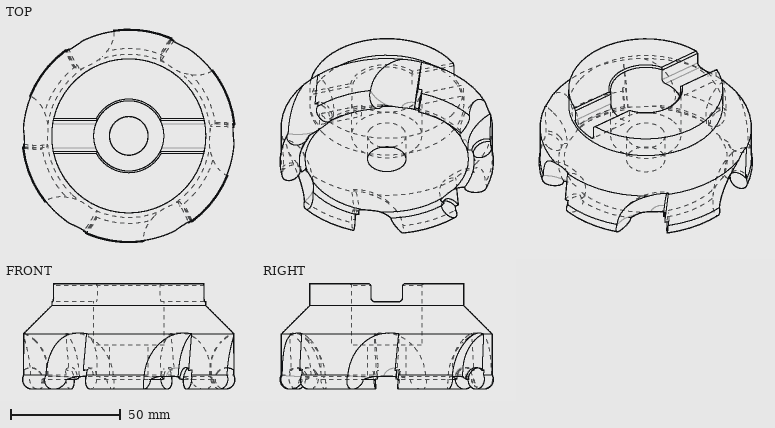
import cadquery as cq
import math

TOTAL_HEIGHT = 48.1
COLLAR_RADIUS = 35.1
BODY_RADIUS = 48.15
CONE_TOP_Z = 38.1
CONE_BOTTOM_Z = CONE_TOP_Z - (BODY_RADIUS - COLLAR_RADIUS)
BODY_BOTTOM_Z = 5.8
UNDERSIDE_FLAT_RADIUS = 37.2

RING_SECTION_RADIUS = 4.4
RING_OUTER_RADIUS = 48.65
RING_CENTRE_RADIUS = RING_OUTER_RADIUS - RING_SECTION_RADIUS

BORE_RADIUS = 16.0
BORE_DEPTH = 28.0
BORE_CHAMFER = 0.8
SCREW_HOLE_RADIUS = 8.75
SLOT_WIDTH = 14.2
SLOT_DEPTH = 8.2
SLOT_FLOOR_FILLET = 1.6
SLOT_EDGE_CHAMFER = 0.9

TOOTH_COUNT = 6
FIRST_TOOTH_ANGLE = -52.8
RADIAL_RAKE = -12.0
AXIAL_RAKE = 5.5
SEAT_RADIUS = 5.3
SEAT_OUTWARD_SHIFT = 0.8
SEAT_DEPTH = 1.8
POCKET_RADIUS = 22.8
POCKET_FLOOR_RADIUS = 5.4
POCKET_FLOOR_DEPTH = 6.5
POCKET_AXIS_HEIGHT = -0.4
POCKET_AXIS_OFFSET = 0.6
CUTTER_REACH = 30.0
FACE_CUTTER_WIDTH = 4 * CUTTER_REACH


def make_body():
    ring_inner_radius = RING_CENTRE_RADIUS - RING_SECTION_RADIUS
    rim_offset = BODY_RADIUS - RING_CENTRE_RADIUS
    rim_z = RING_SECTION_RADIUS + math.sqrt(RING_SECTION_RADIUS**2 - rim_offset**2)
    profile = (
        cq.Workplane("XZ")
        .moveTo(0, BODY_BOTTOM_Z)
        .lineTo(UNDERSIDE_FLAT_RADIUS, BODY_BOTTOM_Z)
        .lineTo(ring_inner_radius, RING_SECTION_RADIUS)
        .threePointArc((RING_CENTRE_RADIUS, 0), (RING_OUTER_RADIUS, RING_SECTION_RADIUS))
        .tangentArcPoint((BODY_RADIUS, rim_z), relative=False)
        .lineTo(BODY_RADIUS, CONE_BOTTOM_Z)
        .lineTo(COLLAR_RADIUS, CONE_TOP_Z)
        .lineTo(COLLAR_RADIUS, TOTAL_HEIGHT)
        .lineTo(0, TOTAL_HEIGHT)
        .close()
    )
    return profile.revolve(360, (0, 0), (0, 1))


def make_slot():
    floor_z = TOTAL_HEIGHT - SLOT_DEPTH
    slot = (
        cq.Workplane("XY")
        .box(2 * BODY_RADIUS, SLOT_WIDTH, SLOT_DEPTH, centered=(True, True, False))
        .translate((0, 0, floor_z))
        .edges("|X and <Z")
        .fillet(SLOT_FLOOR_FILLET)
    )
    half_width = SLOT_WIDTH / 2
    edge_relief = (
        cq.Workplane("YZ", origin=(-BODY_RADIUS, 0, TOTAL_HEIGHT))
        .moveTo(-half_width - SLOT_EDGE_CHAMFER, 0)
        .lineTo(half_width + SLOT_EDGE_CHAMFER, 0)
        .lineTo(half_width, -SLOT_EDGE_CHAMFER)
        .lineTo(-half_width, -SLOT_EDGE_CHAMFER)
        .close()
        .extrude(2 * BODY_RADIUS)
    )
    return slot.union(edge_relief)


def make_bore():
    floor_z = TOTAL_HEIGHT - BORE_DEPTH
    profile = (
        cq.Workplane("XZ")
        .moveTo(0, 0)
        .lineTo(SCREW_HOLE_RADIUS, 0)
        .lineTo(SCREW_HOLE_RADIUS, floor_z)
        .lineTo(BORE_RADIUS, floor_z)
        .lineTo(BORE_RADIUS, TOTAL_HEIGHT - BORE_CHAMFER)
        .lineTo(BORE_RADIUS + BORE_CHAMFER, TOTAL_HEIGHT)
        .lineTo(0, TOTAL_HEIGHT)
        .close()
    )
    return profile.revolve(360, (0, 0), (0, 1))


def make_seat_plane():
    """Plane of the seat face: x points outward, y upward, normal into the pocket."""
    tooth = math.radians(FIRST_TOOTH_ANGLE)
    facing = math.radians(FIRST_TOOTH_ANGLE + RADIAL_RAKE)
    tilt = math.radians(AXIAL_RAKE)
    origin = (
        RING_CENTRE_RADIUS * math.cos(tooth),
        RING_CENTRE_RADIUS * math.sin(tooth),
        RING_SECTION_RADIUS,
    )
    outward = (math.cos(facing), math.sin(facing), 0)
    normal = (
        math.sin(facing) * math.cos(tilt),
        -math.cos(facing) * math.cos(tilt),
        math.sin(tilt),
    )
    return cq.Plane(origin=origin, xDir=outward, normal=normal)


def draw_pocket_outline(pocket_plane, near_edge):
    """Half section of the pocket: flat floor, rounded corner, straight wall."""
    corner_radius = POCKET_RADIUS - POCKET_FLOOR_RADIUS
    corner_end = corner_radius - POCKET_FLOOR_DEPTH
    corner_middle = (
        corner_end - corner_radius * math.sqrt(0.5),
        POCKET_FLOOR_RADIUS + corner_radius * math.sqrt(0.5),
    )
    return (
        cq.Workplane(pocket_plane)
        .moveTo(-POCKET_FLOOR_DEPTH, near_edge)
        .lineTo(-POCKET_FLOOR_DEPTH, POCKET_FLOOR_RADIUS)
        .threePointArc(corner_middle, (corner_end, POCKET_RADIUS))
        .lineTo(CUTTER_REACH, POCKET_RADIUS)
        .lineTo(CUTTER_REACH, near_edge)
        .close()
    )


def make_pocket(seat_plane):
    """Round-topped pocket ending at the flat tooth face and open below."""
    axis_origin = seat_plane.toWorldCoords((0, POCKET_AXIS_HEIGHT, SEAT_DEPTH + POCKET_AXIS_OFFSET))
    pocket_plane = cq.Plane(
        origin=axis_origin.toTuple(),
        xDir=seat_plane.xDir.toTuple(),
        normal=(-seat_plane.yDir).toTuple(),
    )
    bowl = draw_pocket_outline(pocket_plane, 0).revolve(360, (0, 0), (1, 0))
    open_bottom = draw_pocket_outline(pocket_plane, -POCKET_AXIS_OFFSET).extrude(CUTTER_REACH)
    in_front_of_face = (
        cq.Workplane(seat_plane)
        .workplane(offset=SEAT_DEPTH)
        .rect(FACE_CUTTER_WIDTH, FACE_CUTTER_WIDTH)
        .extrude(FACE_CUTTER_WIDTH)
    )
    return bowl.intersect(in_front_of_face).union(open_bottom)


def make_seat(seat_plane):
    """Round insert seat sunk behind the tooth face."""
    return (
        cq.Workplane(seat_plane)
        .center(SEAT_OUTWARD_SHIFT, 0)
        .circle(SEAT_RADIUS)
        .extrude(SEAT_DEPTH + POCKET_AXIS_OFFSET)
    )


result = make_body().cut(make_slot()).cut(make_bore())
seat_plane = make_seat_plane()
tooth_cutter = make_pocket(seat_plane).union(make_seat(seat_plane))
for tooth_index in range(TOOTH_COUNT):
    turn = tooth_index * 360 / TOOTH_COUNT
    result = result.cut(tooth_cutter.rotate((0, 0, 0), (0, 0, 1), turn))